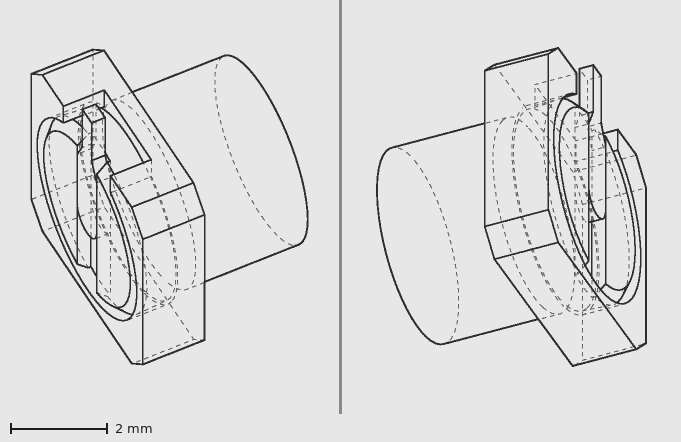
import cadquery as cq

housing_side = 5.03
housing_depth = 1.44
corner_chamfer = 0.5
bore_radius = 2.245
bore_depth = 0.95
notch_width = 2.115

total_depth = 4.06
can_radius = 2.105
can_length = total_depth - housing_depth

rotor_rim_radius = 2.205
rotor_face_radius = 1.955
rotor_back_radius = 2.165
rim_depth = 0.25

tab_width = 0.87
tab_thickness = 0.315
tip_width = 0.415
taper_start_z = 1.645
taper_end_z = 2.105
total_height = 5.83
tab_top_z = total_height - housing_side / 2


def extrude_back(sketch, depth):
    """Extrude a sketch on the XZ plane towards +Y (the plane normal is -Y)."""
    return sketch.extrude(-depth)


def make_housing():
    block = extrude_back(cq.Workplane("XZ").rect(housing_side, housing_side), housing_depth)
    block = block.edges("|Y").chamfer(corner_chamfer)
    bore = extrude_back(cq.Workplane("XZ").circle(bore_radius), bore_depth)
    notch = cq.Workplane("XY").box(
        notch_width, bore_depth, housing_side / 2, centered=(True, False, False)
    )
    return block.cut(bore).cut(notch)


def make_can():
    back_plane = cq.Workplane("XZ", origin=(0, housing_depth, 0))
    return extrude_back(back_plane.circle(can_radius), can_length)


def make_rotor():
    half_profile = [
        (0, 0),
        (rotor_face_radius, 0),
        (rotor_rim_radius, rim_depth),
        (rotor_back_radius, bore_depth),
        (0, bore_depth),
    ]
    disc = cq.Workplane("XY").polyline(half_profile).close().revolve(360, (0, 0), (0, 1))
    slot = extrude_back(cq.Workplane("XZ").rect(tab_width, 2 * bore_radius), tab_thickness)
    return disc.cut(slot)


def make_tab():
    half_width = tab_width / 2
    half_tip = tip_width / 2
    outline = (
        cq.Workplane("XZ")
        .moveTo(half_width, 0)
        .lineTo(half_width, taper_start_z)
        .lineTo(half_tip, taper_end_z)
        .lineTo(half_tip, tab_top_z)
        .lineTo(-half_tip, tab_top_z)
        .lineTo(-half_tip, taper_end_z)
        .lineTo(-half_width, taper_start_z)
        .lineTo(-half_width, 0)
        .threePointArc((0, -half_width), (half_width, 0))
        .close()
    )
    return extrude_back(outline, tab_thickness)


housing = make_housing()
can = make_can()
rotor = make_rotor()
tab = make_tab()

result = cq.Compound.makeCompound([housing.val(), can.val(), rotor.val(), tab.val()])